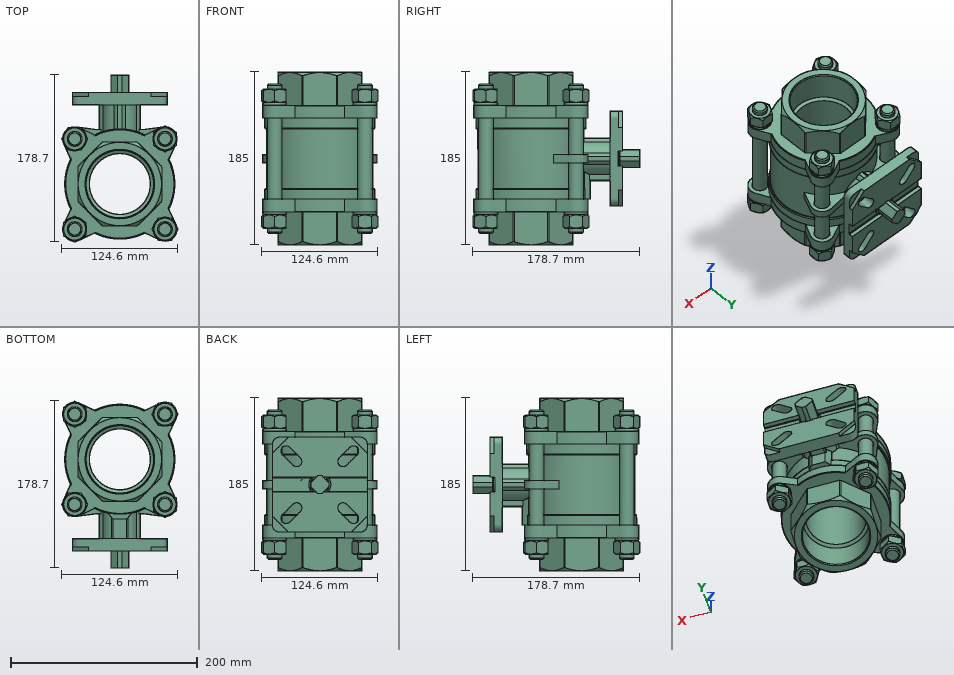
import cadquery as cq
import math


end_z = 92.5
flange_outer_z = 57.0
flange_inner_z = 43.3
band_inner_z = 31.6
flange_dia = 117.3
band_dia = 118.0
body_dia = 114.0
band_chamfer = 1.1
flange_chamfer = 0.7
bore_dia = 65.0
thread_dia = 72.2
thread_depth = 34.5
thread_run_out = 1.8
thread_chamfer = 1.1
octagon_flats = 90.0
octagon_corner_dia = 96.8
octagon_face_dia = 89.2

bolt_offset = 48.3
lug_radius = 13.0
lug_foot_angle = 27.0
rod_dia = 16.0
clearance_dia = 17.0
tip_chamfer = 1.5
tip_z = 80.0
washer_dia = 25.7
washer_thickness = 3.0
nut_corner_dia = 28.0
nut_face_dia = 23.5
nut_height = 14.6
nut_cone_angle = 40.0

ear_thickness = 8.9
ear_foot_y = 24.0
ear_top_x = 26.0
ear_top_y = 58.5

plate_half = 50.9
plate_back_y = 84.7
plate_front_y = 98.0
plate_corner_radius = 8.1
plate_corner_cut = 17.4
front_layer = 4.3
groove_width = 16.0
groove_depth = 5.2
groove_chamfer = 0.7
slot_width = 11.1
slot_inner = 24.8
slot_outer = 36.0
neck_radius = 19.0
rib_tip = 22.0
rib_shoulder = 20.5
rib_tip_half = 2.2
rib_shoulder_half = 4.3
rib_root_half = 6.3
key_half = 8.7
key_bottom_z = -24.0
key_chamfer = 1.5
pad_y = 63.6
pad_shoulder_y = 62.5
pad_root_half = 13.0
overall_y = 178.7
stem_tip_y = overall_y - bolt_offset - nut_corner_dia / 2
stem_point = 9.6
stem_corner_half = 2.2
collar_dia = 23.5
collar_y = 95.3
collar_chamfer_height = 1.1
collar_chamfer_reach = 1.7

body_radius = body_dia / 2
flange_radius = flange_dia / 2


def cylinder(dia, z0, z1, x=0.0, y=0.0):
    return cq.Workplane("XY", origin=(x, y, z0)).circle(dia / 2).extrude(z1 - z0)


def xz_plane(y):
    """Workplane facing +Y at height y; its local x is -X and its local y is +Z."""
    return cq.Workplane(cq.Plane(origin=(0, y, 0), xDir=(-1, 0, 0), normal=(0, 1, 0)))


def both_ends(solid):
    return solid.union(solid.mirror("XY"))


def tangent_point(px, py, side):
    """Point where a line from (px, py) touches the lug circle at (bolt_offset, bolt_offset)."""
    dx = px - bolt_offset
    dy = py - bolt_offset
    angle = math.atan2(dy, dx) + side * math.acos(lug_radius / math.hypot(dx, dy))
    return bolt_offset + lug_radius * math.cos(angle), bolt_offset + lug_radius * math.sin(angle)


def lug(foot, far_foot, z0, z1):
    """Rounded lug around the +X +Y bolt, with straight sides running to two foot points."""
    crown = bolt_offset + lug_radius * math.sqrt(0.5)
    return (
        cq.Workplane("XY", origin=(0, 0, z0))
        .lineTo(*foot)
        .lineTo(*tangent_point(*foot, 1))
        .threePointArc((crown, crown), tangent_point(*far_foot, -1))
        .lineTo(*far_foot)
        .close()
        .extrude(z1 - z0)
    )


def make_cap():
    """Cap on the +Z end: flange with four lugs and an octagonal pipe end."""
    cap = cylinder(flange_dia, flange_inner_z, flange_outer_z).faces(">Z").chamfer(flange_chamfer)
    foot_far = flange_radius * math.cos(math.radians(lug_foot_angle))
    foot_near = flange_radius * math.sin(math.radians(lug_foot_angle))
    corner_lug = lug((foot_far, foot_near), (foot_near, foot_far), flange_inner_z, flange_outer_z)
    for turn in range(4):
        cap = cap.union(corner_lug.rotate((0, 0, 0), (0, 0, 1), 90 * turn))

    octagon = (
        cq.Workplane("XY", origin=(0, 0, flange_inner_z))
        .polygon(8, octagon_flats, circumscribed=True)
        .extrude(end_z - flange_inner_z)
    )
    turned = cylinder(octagon_corner_dia, flange_inner_z, end_z)
    turned = turned.faces(">Z").chamfer((octagon_corner_dia - octagon_face_dia) / 2)
    return cap.union(octagon.intersect(turned))


def make_band():
    """Raised body band next to the +Z cap."""
    band = cylinder(band_dia, band_inner_z, flange_inner_z)
    return band.faces("<Z").chamfer(band_chamfer)


def make_ears():
    """Two ears on the body, joined by a bridge that runs into the neck."""
    foot_x = math.sqrt(body_radius**2 - ear_foot_y**2)
    ear = lug((foot_x, ear_foot_y), (ear_top_x, ear_top_y), -ear_thickness / 2, ear_thickness / 2)
    bridge = cq.Workplane("XY").box(2 * ear_top_x, ear_top_y, ear_thickness, centered=(True, False, True))
    return ear.union(ear.mirror("YZ")).union(bridge)


def make_nut(z0):
    """Hexagon nut at the origin with a corner on the X axis and both ends turned to a cone."""
    reach = (nut_corner_dia - nut_face_dia) / 2
    rise = reach * math.tan(math.radians(nut_cone_angle))
    hexagon = cq.Workplane("XY", origin=(0, 0, z0)).polygon(6, nut_corner_dia).extrude(nut_height)
    turned = cylinder(nut_corner_dia, z0, z0 + nut_height)
    turned = turned.faces(">Z or <Z").chamfer(rise, reach)
    return hexagon.intersect(turned)


def make_washer():
    """Washer on the +Z flange with a fully rounded rim."""
    flat_radius = (washer_dia - washer_thickness) / 2
    washer_top = flange_outer_z + washer_thickness
    return (
        cq.Workplane("XZ")
        .moveTo(0, flange_outer_z)
        .lineTo(flat_radius, flange_outer_z)
        .threePointArc((washer_dia / 2, flange_outer_z + washer_thickness / 2), (flat_radius, washer_top))
        .lineTo(0, washer_top)
        .close()
        .revolve(360, (0, 0, 0), (0, 1, 0))
    )


def make_bolt(x, y, nut_turn):
    """Tie bolt at (x, y) with a washer and a nut on both ends."""
    washer_top = flange_outer_z + washer_thickness
    tip = cylinder(rod_dia, 0, tip_z).faces(">Z").chamfer(tip_chamfer)
    nut = make_nut(washer_top).rotate((0, 0, 0), (0, 0, 1), nut_turn)
    return both_ends(tip.union(make_washer()).union(nut)).translate((x, y, 0))


def make_neck():
    """Round neck with four tapered ribs, a wide key rib on -Z and a pad between key and body."""
    neck = xz_plane(0).circle(neck_radius).extrude(plate_back_y)
    root_z = math.sqrt(neck_radius**2 - rib_root_half**2)
    half_rib = [(rib_root_half, root_z), (rib_shoulder_half, rib_shoulder), (rib_tip_half, rib_tip)]
    other_half = [(-x, z) for x, z in reversed(half_rib)]
    rib = xz_plane(0).polyline([(0, 0)] + half_rib + other_half).close().extrude(plate_back_y)
    for turn in range(4):
        neck = neck.union(rib.rotate((0, 0, 0), (0, 1, 0), 90 * turn))

    key = (
        cq.Workplane("XY", origin=(0, 0, key_bottom_z))
        .center(0, plate_back_y / 2)
        .rect(2 * key_half, plate_back_y)
        .extrude(-key_bottom_z)
        .faces("<Z").edges("|Y").chamfer(key_chamfer)
    )
    half_pad = [
        (pad_root_half, 0),
        (pad_root_half, body_radius),
        (key_half, pad_shoulder_y),
        (key_half - key_chamfer, pad_y),
    ]
    pad_outline = half_pad + [(-x, y) for x, y in reversed(half_pad)]
    pad = cq.Workplane("XY", origin=(0, 0, -flange_inner_z)).polyline(pad_outline).close()
    return neck.union(key).union(pad.extrude(flange_inner_z))


def make_plate():
    """Square mounting plate with a cross groove and four diagonal bolt slots."""
    thickness = plate_front_y - plate_back_y
    side = 2 * plate_half
    back = xz_plane(plate_back_y).rect(side, side).extrude(thickness - front_layer)
    back = back.edges("|Y").fillet(plate_corner_radius)
    front = xz_plane(plate_front_y - front_layer).rect(side, side).extrude(front_layer)
    front = front.edges("|Y").chamfer(plate_corner_cut)
    plate = back.union(front)

    groove = cq.Workplane("XY").box(side, groove_depth, groove_width)
    groove = groove.faces("<Y").edges("|X").chamfer(groove_chamfer)
    plate = plate.cut(groove.translate((0, plate_front_y - groove_depth / 2, 0)))

    slot_middle = (slot_inner + slot_outer) / 2 * math.sqrt(2)
    slot_length = (slot_outer - slot_inner) * math.sqrt(2) + slot_width
    slot = xz_plane(plate_back_y).center(slot_middle, 0).slot2D(slot_length, slot_width).extrude(thickness)
    for turn in range(4):
        plate = plate.cut(slot.rotate((0, 0, 0), (0, 1, 0), 45 + 90 * turn))
    return plate


def make_stem():
    """Square drive stem standing on a corner, with the four corners trimmed flat."""
    p = stem_point
    c = stem_corner_half
    outline = [(p, c), (c, p), (-c, p), (-p, c), (-p, -c), (-c, -p), (c, -p), (p, -c)]
    stem = xz_plane(plate_back_y).polyline(outline).close().extrude(stem_tip_y - plate_back_y)
    collar = xz_plane(plate_back_y).circle(collar_dia / 2).extrude(collar_y - plate_back_y)
    collar = collar.faces(">Y").chamfer(collar_chamfer_height, collar_chamfer_reach)
    return stem.union(collar)


def make_bore():
    """Through bore with a tapered-bottom thread recess and a chamfered mouth at each end."""
    thread_radius = thread_dia / 2
    mouth_radius = thread_radius + thread_chamfer
    thread_end_z = end_z - thread_depth
    profile = [
        (0, 0),
        (bore_dia / 2, 0),
        (bore_dia / 2, thread_end_z - thread_run_out),
        (thread_radius, thread_end_z),
        (thread_radius, end_z - thread_chamfer),
        (mouth_radius, end_z),
        (0, end_z),
    ]
    return both_ends(cq.Workplane("XZ").polyline(profile).close().revolve(360, (0, 0, 0), (0, 1, 0)))


result = cylinder(body_dia, -flange_inner_z, flange_inner_z)
result = result.union(both_ends(make_cap().union(make_band())))
result = result.union(make_ears()).union(make_neck()).union(make_plate()).union(make_stem())
for x_sign in (-1, 1):
    for y_sign in (-1, 1):
        x = x_sign * bolt_offset
        y = y_sign * bolt_offset
        nut_turn = 90 if x_sign == y_sign else 0
        result = result.cut(cylinder(clearance_dia, -flange_outer_z, flange_outer_z, x, y))
        result = result.union(make_bolt(x, y, nut_turn))
result = result.cut(make_bore())